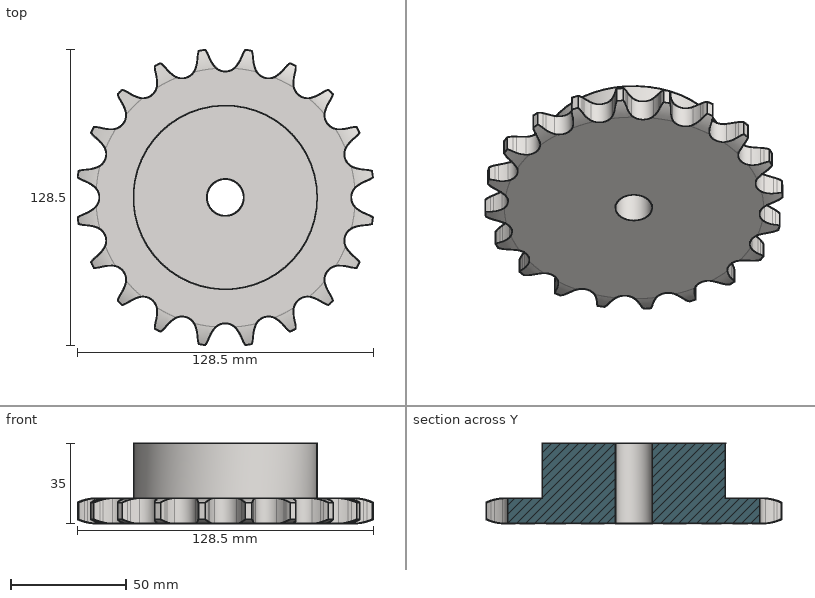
import cadquery as cq
import math


tooth_count = 20
pitch_diameter = 121.8
roller_diameter = 12.1
overall_width = 128.5
plate_thickness = 11.0
hub_diameter = 80.0
overall_height = 35.0
bore_diameter = 16.0
seat_clearance = 0.08
cut_margin = 0.6

pitch_radius = pitch_diameter / 2
half_tooth_angle = math.pi / tooth_count
chain_pitch = pitch_diameter * math.sin(half_tooth_angle)

seat_radius = (1.005 * roller_diameter + seat_clearance) / 2
seat_angle = math.radians(35 + 60 / tooth_count)
working_angle = math.radians(18 - 56 / tooth_count)
flat_angle = math.radians(17 - 64 / tooth_count)
working_offset = 0.8 * roller_diameter
topping_offset = 1.4 * roller_diameter
working_radius = working_offset + seat_radius
flat_length = topping_offset * math.sin(flat_angle) - working_offset * math.sin(working_angle)
topping_radius = (
    topping_offset * math.cos(flat_angle)
    + working_offset * math.cos(working_angle)
    - working_radius
)
topping_center = (
    topping_offset * math.cos(half_tooth_angle),
    pitch_radius - topping_offset * math.sin(half_tooth_angle),
)

corner_height = overall_width / 2
corner_offset = topping_center[0] - math.sqrt(
    topping_radius**2 - (corner_height - topping_center[1])**2
)
tip_radius = math.hypot(corner_offset, corner_height)

nominal_tip_radius = chain_pitch * (0.6 + 1 / math.tan(half_tooth_angle)) / 2
side_round_start = nominal_tip_radius - 0.5 * chain_pitch
side_round_radius = 1.063 * chain_pitch


def point_on_circle(center, radius, angle):
    return (center[0] + radius * math.cos(angle), center[1] + radius * math.sin(angle))


def mirrored(point):
    return (-point[0], point[1])


def tooth_gap():
    """Cutter for the gap centred on +Y, symmetric about the YZ plane."""
    roller_center = (0, pitch_radius)
    working_center = point_on_circle(roller_center, working_offset, math.pi - seat_angle)

    seat_end = point_on_circle(roller_center, seat_radius, -seat_angle)
    root = (0, pitch_radius - seat_radius)

    working_end_angle = working_angle - seat_angle
    working_mid = point_on_circle(working_center, working_radius, working_angle / 2 - seat_angle)
    working_end = point_on_circle(working_center, working_radius, working_end_angle)
    flat_end = point_on_circle(working_end, flat_length, working_end_angle + math.pi / 2)

    top_start_angle = working_end_angle + math.pi
    top_rise = tip_radius + cut_margin - topping_center[1]
    top_end_angle = math.pi - math.asin(top_rise / topping_radius)
    top_mid_angle = (top_start_angle + top_end_angle) / 2
    top_mid = point_on_circle(topping_center, topping_radius, top_mid_angle)
    top_end = point_on_circle(topping_center, topping_radius, top_end_angle)

    return (
        cq.Workplane("XY")
        .moveTo(*mirrored(top_end))
        .threePointArc(mirrored(top_mid), mirrored(flat_end))
        .lineTo(*mirrored(working_end))
        .threePointArc(mirrored(working_mid), mirrored(seat_end))
        .threePointArc(root, seat_end)
        .threePointArc(working_mid, working_end)
        .lineTo(*flat_end)
        .threePointArc(top_mid, top_end)
        .close()
        .extrude(plate_thickness)
    )


def plate_blank():
    """Disc whose rim is thinned on both faces by arcs tangent to the faces."""
    def drop(radius):
        reach = radius - side_round_start
        return side_round_radius - math.sqrt(side_round_radius**2 - reach**2)

    mid_radius = (side_round_start + tip_radius) / 2
    mid_drop = drop(mid_radius)
    tip_drop = drop(tip_radius)
    return (
        cq.Workplane("XZ")
        .lineTo(side_round_start, 0)
        .threePointArc((mid_radius, mid_drop), (tip_radius, tip_drop))
        .lineTo(tip_radius, plate_thickness - tip_drop)
        .threePointArc(
            (mid_radius, plate_thickness - mid_drop),
            (side_round_start, plate_thickness),
        )
        .lineTo(0, plate_thickness)
        .close()
        .revolve(360, (0, 0, 0), (0, 1, 0))
    )


def toothed_plate():
    plate = plate_blank()
    gap = tooth_gap()
    for index in range(tooth_count):
        plate = plate.cut(gap.rotate((0, 0, 0), (0, 0, 1), index * 360 / tooth_count))
    return plate


hub = cq.Workplane("XY").circle(hub_diameter / 2).extrude(overall_height)
bore = cq.Workplane("XY").circle(bore_diameter / 2).extrude(overall_height)

result = toothed_plate().union(hub).cut(bore)